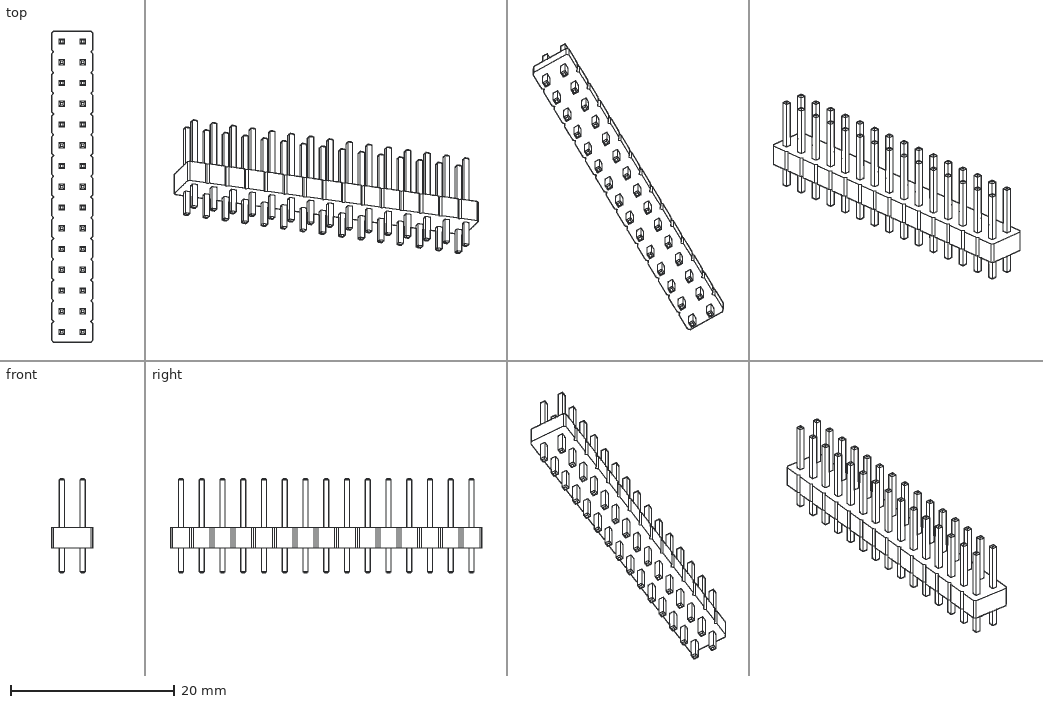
import cadquery as cq


row_length = 38.1
pins_per_row = 15
row_count = 2
pin_width = 0.65
pin_length = 11.55
pin_below_housing = 3.0

pitch = row_length / pins_per_row
housing_width = row_count * pitch
housing_height = pitch
corner_chamfer = pitch / 10
tip_height = pin_width / 4
shank_length = pin_length - 2 * tip_height
tip_width = pin_width / 2


def centred_positions(count):
    """Return pitch-spaced positions arranged symmetrically about zero."""
    return [(index - (count - 1) / 2) * pitch for index in range(count)]


def make_housing():
    """Join a line of corner-chamfered blocks, leaving V notches between them."""
    block = (
        cq.Workplane("XY")
        .box(housing_width, pitch, housing_height, centered=(True, True, False))
        .edges("|Z")
        .chamfer(corner_chamfer)
    )
    housing = cq.Workplane("XY")
    for y in centred_positions(pins_per_row):
        housing = housing.add(block.translate((0, y, 0)))
    return housing.combine(clean=True)


def make_pin():
    """Make one square pin with a blunt pyramid at each end."""
    shank = (
        cq.Workplane("XY")
        .workplane(offset=tip_height - pin_below_housing)
        .rect(pin_width, pin_width)
        .extrude(shank_length)
    )
    for end in (">Z", "<Z"):
        tip = (
            shank.faces(end)
            .workplane()
            .rect(pin_width, pin_width)
            .workplane(offset=tip_height)
            .rect(tip_width, tip_width)
            .loft(combine=False)
        )
        shank = shank.union(tip)
    return shank


def make_pins():
    """Place a pin at the middle of every cell."""
    pin = make_pin().val()
    pins = cq.Workplane("XY")
    for x in centred_positions(row_count):
        for y in centred_positions(pins_per_row):
            pins = pins.add(pin.translate(cq.Vector(x, y, 0)))
    return cq.Workplane(cq.Compound.makeCompound(pins.vals()))


result = make_housing().union(make_pins())